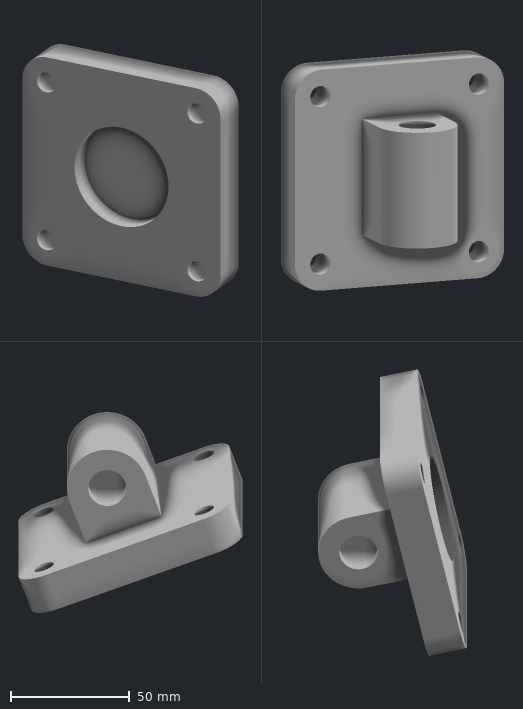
import cadquery as cq

plate_side = 95.0
plate_thickness = 16.0
corner_radius = 12.0

mount_hole_diameter = 9.0
mount_hole_spacing = 72.0

recess_diameter = 45.0
recess_depth = 9.0

total_depth = 53.0
lug_width = 34.0
lug_height = 49.8
pin_hole_diameter = 16.0
lug_radius = lug_width / 2
pin_y = total_depth - lug_radius


def make_plate():
    """Plate with rounded corners and mounting holes, extending toward +Y."""
    blank = (
        cq.Workplane("XZ")
        .rect(plate_side, plate_side)
        .extrude(-plate_thickness)
        .edges("|Y")
        .fillet(corner_radius)
    )
    mount_holes = (
        cq.Workplane("XZ")
        .rect(mount_hole_spacing, mount_hole_spacing, forConstruction=True)
        .vertices()
        .circle(mount_hole_diameter / 2)
        .extrude(-plate_thickness)
    )
    return blank.cut(mount_holes)


def make_recess():
    """Cylinder to remove from the front face."""
    return cq.Workplane("XZ").circle(recess_diameter / 2).extrude(-recess_depth)


def make_lug():
    """Lug centred on Z = 0, its rounded end concentric with the pin hole."""
    return (
        cq.Workplane("XY", origin=(0, 0, -lug_height / 2))
        .moveTo(-lug_radius, plate_thickness)
        .lineTo(-lug_radius, pin_y)
        .threePointArc((0, total_depth), (lug_radius, pin_y))
        .lineTo(lug_radius, plate_thickness)
        .close()
        .moveTo(0, pin_y)
        .circle(pin_hole_diameter / 2)
        .extrude(lug_height)
    )


result = make_plate().cut(make_recess()).union(make_lug())